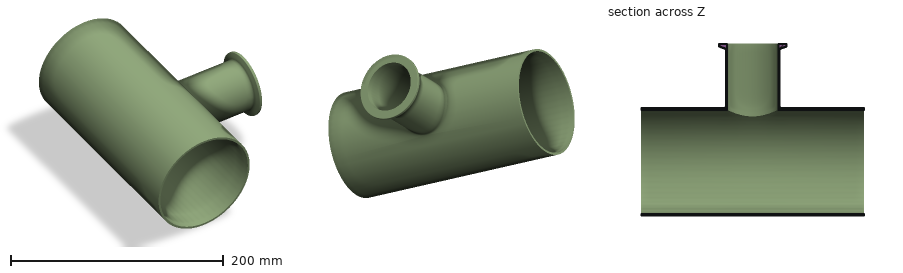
import cadquery as cq
import math

RUN_LENGTH = 209.5
RUN_OUTER_DIAMETER = 101.6
RUN_INNER_DIAMETER = 97.5

BRANCH_OUTER_DIAMETER = 50.7
BRANCH_INNER_DIAMETER = 47.5
OVERALL_WIDTH = 162.0
BRANCH_REACH = OVERALL_WIDTH - RUN_OUTER_DIAMETER / 2
JUNCTION_FILLET = 1.7

FLANGE_DIAMETER = 64.0
FLANGE_RIM_THICKNESS = 2.7
FLANGE_BACK_ANGLE = 20.0
FLANGE_NECK_FILLET = 1.0
FLANGE_RIM_FILLET = 0.5
FERRULE_LENGTH = 12.5


def cylinder_along_x(diameter):
    return cq.Workplane("YZ").circle(diameter / 2).extrude(RUN_LENGTH / 2, both=True)


def cylinder_along_y(diameter, length):
    return cq.Workplane("XZ").circle(diameter / 2).extrude(-length)


def make_flanged_ferrule():
    """Ferrule turned about the Y axis: a straight neck, a sloping back and a flat rim."""
    neck_radius = BRANCH_OUTER_DIAMETER / 2
    rim_radius = FLANGE_DIAMETER / 2
    rim_back = BRANCH_REACH - FLANGE_RIM_THICKNESS
    cone_height = (rim_radius - neck_radius) * math.tan(math.radians(FLANGE_BACK_ANGLE))
    cone_foot = rim_back - cone_height

    ferrule = (
        cq.Workplane("XY")
        .moveTo(0, BRANCH_REACH - FERRULE_LENGTH)
        .lineTo(neck_radius, BRANCH_REACH - FERRULE_LENGTH)
        .lineTo(neck_radius, cone_foot)
        .lineTo(rim_radius, rim_back)
        .lineTo(rim_radius, BRANCH_REACH)
        .lineTo(0, BRANCH_REACH)
        .close()
        .revolve(360, (0, 0, 0), (0, 1, 0))
    )
    neck_edge = cq.selectors.NearestToPointSelector((0, cone_foot, 0))
    ferrule = ferrule.edges(neck_edge).fillet(FLANGE_NECK_FILLET)
    rim_back_edge = cq.selectors.NearestToPointSelector((0, rim_back, 0))
    rim_face_edge = cq.selectors.NearestToPointSelector((0, BRANCH_REACH, 0))
    return ferrule.edges(rim_back_edge + rim_face_edge).fillet(FLANGE_RIM_FILLET)


def make_filleted_tee():
    """Solid run and branch, blended where they meet."""
    run = cylinder_along_x(RUN_OUTER_DIAMETER)
    branch = cylinder_along_y(BRANCH_OUTER_DIAMETER, BRANCH_REACH - FERRULE_LENGTH)
    junction = cq.selectors.NearestToPointSelector((0, RUN_OUTER_DIAMETER / 2, 0))
    return run.union(branch).edges(junction).fillet(JUNCTION_FILLET)


tee = make_filleted_tee().union(make_flanged_ferrule(), clean=False)
run_bore = cylinder_along_x(RUN_INNER_DIAMETER)
branch_bore = cylinder_along_y(BRANCH_INNER_DIAMETER, BRANCH_REACH)
result = tee.cut(run_bore, clean=False).cut(branch_bore, clean=False)